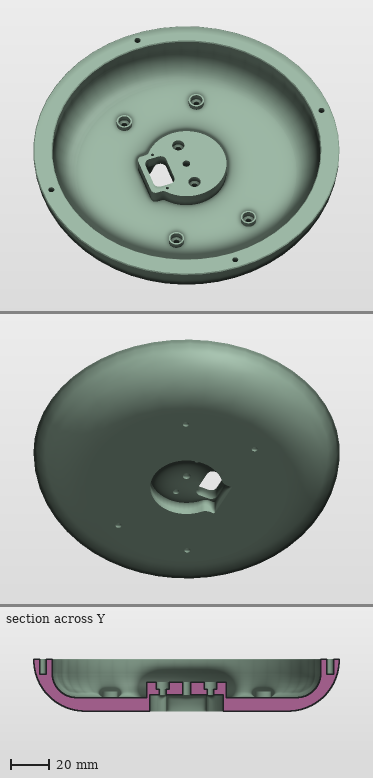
import cadquery as cq
import math

OUTER_RADIUS = 80.0
HEIGHT = 27.5
EDGE_CHAMFER = 0.5
OPENING_RADIUS = 70.0
FLOOR_THICKNESS = 7.4
CAVITY_FILLET = 12.5

RIM_HOLE_COUNT = 4
RIM_HOLE_CIRCLE_RADIUS = 75.0
RIM_HOLE_DIAMETER = 3.2
RIM_HOLE_DEPTH = 8.0

STANDOFF_SPACING_X = 80.0
STANDOFF_SPACING_Y = 40.0
STANDOFF_DIAMETER = 8.0
STANDOFF_HEIGHT = 3.0

PAD_RADIUS = 21.0
PAD_HEIGHT = 8.0
TAB_WIDTH = 24.6
TAB_REACH = 23.2
TAB_CORNER_RADIUS = 2.5
TAB_BLEND_RADIUS = 3.0

PAD_WALL = 1.9
PAD_ROOF = 6.7

SCREW_HOLE_DIAMETER = 3.2
STANDOFF_BORE_DIAMETER = 6.4
STANDOFF_BORE_DEPTH = 3.5
PAD_SCREW_SPACING = 25.0
PAD_BORE_DIAMETER = 6.4
PAD_BORE_DEPTH = 3.5
CENTER_HOLE_DIAMETER = 4.0

WINDOW_WIDTH = 18.5
WINDOW_HEIGHT = 11.5
WINDOW_CORNER_RADIUS = 3.2
WINDOW_CENTER_Y = -14.7
PILOT_SPACING = 22.7
PILOT_DIAMETER = 1.6
PILOT_DEPTH = 4.0

PAD_TOP = FLOOR_THICKNESS + PAD_HEIGHT
STANDOFF_TOP = FLOOR_THICKNESS + STANDOFF_HEIGHT


def make_bowl():
    """Revolve the bowl section: quarter-round outside, filleted cavity inside."""
    outer_arc_radius = HEIGHT - EDGE_CHAMFER
    base_radius = OUTER_RADIUS - outer_arc_radius
    diagonal = outer_arc_radius * math.sqrt(0.5)
    fillet_inset = CAVITY_FILLET * (1 - math.sqrt(0.5))
    section = (
        cq.Workplane("XZ")
        .lineTo(base_radius, 0)
        .threePointArc(
            (base_radius + diagonal, outer_arc_radius - diagonal),
            (OUTER_RADIUS, outer_arc_radius),
        )
        .lineTo(OUTER_RADIUS - EDGE_CHAMFER, HEIGHT)
        .lineTo(OPENING_RADIUS + EDGE_CHAMFER, HEIGHT)
        .lineTo(OPENING_RADIUS, HEIGHT - EDGE_CHAMFER)
        .lineTo(OPENING_RADIUS, FLOOR_THICKNESS + CAVITY_FILLET)
        .threePointArc(
            (OPENING_RADIUS - fillet_inset, FLOOR_THICKNESS + fillet_inset),
            (OPENING_RADIUS - CAVITY_FILLET, FLOOR_THICKNESS),
        )
        .lineTo(0, FLOOR_THICKNESS)
        .close()
    )
    return section.revolve(360, (0, 0, 0), (0, 1, 0))


def make_pad_shape(bottom, top, inset):
    """Disc and tab, inset from the pad outline, between two heights.

    The tab corners are rounded and the tab blends into the disc.
    """
    radius = PAD_RADIUS - inset
    half_width = TAB_WIDTH / 2 - inset
    reach = TAB_REACH - inset
    base = cq.Workplane("XY", origin=(0, 0, bottom))
    tab = (
        base.center(0, -reach / 2)
        .rect(2 * half_width, reach)
        .extrude(top - bottom)
        .edges("|Z and <Y")
        .fillet(TAB_CORNER_RADIUS - inset)
    )
    shape = base.circle(radius).extrude(top - bottom).union(tab)

    junction_y = -math.sqrt(radius**2 - half_width**2)
    for x in (-half_width, half_width):
        junction = cq.selectors.NearestToPointSelector((x, junction_y, (bottom + top) / 2))
        shape = shape.edges("|Z").edges(junction).fillet(TAB_BLEND_RADIUS + inset)
    return shape


def make_standoffs():
    return (
        cq.Workplane("XY")
        .workplane(offset=FLOOR_THICKNESS / 2)
        .rarray(STANDOFF_SPACING_X, STANDOFF_SPACING_Y, 2, 2)
        .circle(STANDOFF_DIAMETER / 2)
        .extrude(STANDOFF_TOP - FLOOR_THICKNESS / 2)
    )


result = make_bowl().union(make_standoffs())

result = result.union(make_pad_shape(FLOOR_THICKNESS / 2, PAD_TOP, 0))
result = result.cut(make_pad_shape(0, PAD_TOP - PAD_ROOF, PAD_WALL))

result = (
    result.copyWorkplane(cq.Workplane("XY", origin=(0, 0, HEIGHT)))
    .polarArray(RIM_HOLE_CIRCLE_RADIUS, 0, 360, RIM_HOLE_COUNT)
    .hole(RIM_HOLE_DIAMETER, RIM_HOLE_DEPTH)
)

result = (
    result.copyWorkplane(cq.Workplane("XY", origin=(0, 0, STANDOFF_TOP)))
    .rarray(STANDOFF_SPACING_X, STANDOFF_SPACING_Y, 2, 2)
    .cboreHole(SCREW_HOLE_DIAMETER, STANDOFF_BORE_DIAMETER, STANDOFF_BORE_DEPTH)
)

pad_face = cq.Workplane("XY", origin=(0, 0, PAD_TOP))
result = result.copyWorkplane(pad_face).hole(CENTER_HOLE_DIAMETER)
result = (
    result.copyWorkplane(pad_face)
    .rarray(PAD_SCREW_SPACING, 1.6, 2, 1)
    .cboreHole(SCREW_HOLE_DIAMETER, PAD_BORE_DIAMETER, PAD_BORE_DEPTH)
)
result = (
    result.copyWorkplane(pad_face)
    .center(0, WINDOW_CENTER_Y)
    .rarray(PILOT_SPACING, 1.6, 2, 1)
    .hole(PILOT_DIAMETER, PILOT_DEPTH)
)

window = (
    cq.Workplane("XY")
    .center(0, WINDOW_CENTER_Y)
    .rect(WINDOW_WIDTH, WINDOW_HEIGHT)
    .extrude(PAD_TOP)
    .edges("|Z")
    .fillet(WINDOW_CORNER_RADIUS)
)
result = result.cut(window)